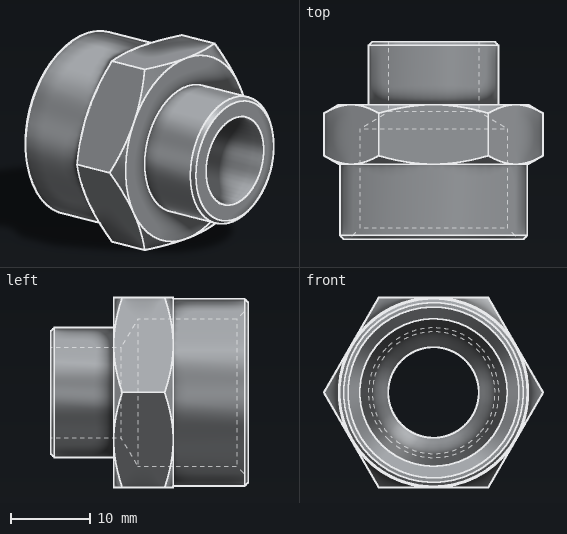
import cadquery as cq
import math

across_corners = 27.7
across_flats = across_corners * math.cos(math.pi / 6)
hex_length = 7.5
hex_chamfer_angle = 30.0

front_diameter = 23.7
front_length = 9.5
front_chamfer = 0.5
rear_diameter = 16.45
rear_length = 7.98
rear_chamfer = 0.5

mouth_diameter = 21.59
seat_diameter = 18.62
bore_diameter = 11.42
entry_depth = (mouth_diameter - seat_diameter) / 2
seat_depth = 14.0
drill_point_angle = 118.0

total_length = front_length + hex_length + rear_length
hex_rear = front_length + hex_length


def revolve_about_y(profile):
    """Turn a list of (radius, y) points about the Y axis."""
    return cq.Workplane("XY").polyline(profile).close().revolve(360, (0, 0, 0), (0, 1, 0))


def make_hexagon():
    """Hexagonal prism whose corners are turned off conically at both ends."""
    prism = (
        cq.Workplane("XZ", origin=(0, front_length, 0))
        .polygon(6, across_corners)
        .extrude(-hex_length)
    )
    flat_radius = across_flats / 2
    corner_radius = across_corners / 2
    corner_drop = (corner_radius - flat_radius) * math.tan(math.radians(hex_chamfer_angle))
    envelope = revolve_about_y([
        (0, front_length),
        (flat_radius, front_length),
        (corner_radius, front_length + corner_drop),
        (corner_radius, hex_rear - corner_drop),
        (flat_radius, hex_rear),
        (0, hex_rear),
    ])
    return prism.intersect(envelope)


def make_spigots():
    """Both round ends as one turned body with chamfered outer rims."""
    front_radius = front_diameter / 2
    rear_radius = rear_diameter / 2
    return revolve_about_y([
        (0, 0),
        (front_radius - front_chamfer, 0),
        (front_radius, front_chamfer),
        (front_radius, front_length),
        (rear_radius, front_length),
        (rear_radius, total_length - rear_chamfer),
        (rear_radius - rear_chamfer, total_length),
        (0, total_length),
    ])


def make_bore():
    """Stepped cavity running through the whole fitting."""
    floor_drop = (seat_diameter - bore_diameter) / 2 / math.tan(math.radians(drill_point_angle / 2))
    return revolve_about_y([
        (0, 0),
        (mouth_diameter / 2, 0),
        (seat_diameter / 2, entry_depth),
        (seat_diameter / 2, seat_depth),
        (bore_diameter / 2, seat_depth + floor_drop),
        (bore_diameter / 2, total_length),
        (0, total_length),
    ])


result = make_hexagon().union(make_spigots()).cut(make_bore())